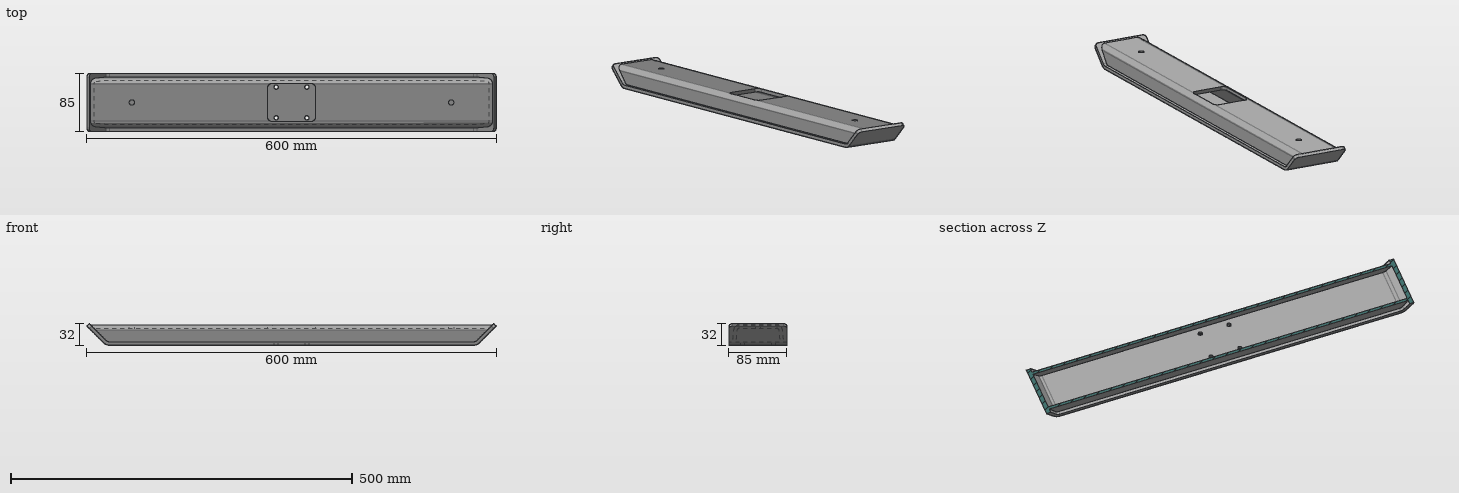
import cadquery as cq
import math

LENGTH = 600.0
WIDTH = 85.0
HEIGHT = 32.0

SHEET = 5.1
BEND_INNER_RADIUS = 7.0
BEND_ANGLE = math.radians(45)
END_CORNER_RADIUS = 5.5

COVER_TOP = 30.0
COVER_FOOT_WIDTH = 75.0
COVER_DRAFT = math.radians(6)
COVER_WALL = SHEET
COVER_RADIUS = 8.5

WINDOW_LENGTH = 71.0
WINDOW_WIDTH = 56.0
WINDOW_CORNER_RADIUS = 7.0
COVER_HOLE_DIAMETER = 8.0
COVER_HOLE_SPACING = 468.0

BASE_HOLE_DIAMETER = 6.0
BASE_HOLE_SPACING = 45.0

BEND_OUTER_RADIUS = BEND_INNER_RADIUS + SHEET
BEND_SIN = math.sin(BEND_ANGLE)
BEND_COS = math.cos(BEND_ANGLE)
OUTER_TIP_X = LENGTH / 2
OUTER_TIP_Z = HEIGHT - SHEET * BEND_COS
INNER_TIP_X = OUTER_TIP_X - SHEET * BEND_SIN
OUTER_BEND_END_Z = BEND_OUTER_RADIUS * (1 - BEND_COS)
OUTER_BEND_END_X = OUTER_TIP_X - (OUTER_TIP_Z - OUTER_BEND_END_Z) / math.tan(BEND_ANGLE)
BEND_CENTER_X = OUTER_BEND_END_X - BEND_OUTER_RADIUS * BEND_SIN


def bend_point(radius, angle):
    """Point on the right-hand bend, at an angle measured from straight down."""
    x = BEND_CENTER_X + radius * math.sin(angle)
    z = BEND_OUTER_RADIUS - radius * math.cos(angle)
    return x, z


def mirrored(point):
    """Matching point on the left-hand end."""
    return -point[0], point[1]


def tray_section(bottom_radius, tip):
    """Outline of the bent sheet surface, closed by a straight line between its two tips."""
    start = bend_point(bottom_radius, 0)
    middle = bend_point(bottom_radius, BEND_ANGLE / 2)
    end = bend_point(bottom_radius, BEND_ANGLE)
    return (
        cq.Workplane("XZ")
        .moveTo(*mirrored(start))
        .lineTo(*start)
        .threePointArc(middle, end)
        .lineTo(*tip)
        .lineTo(*mirrored(tip))
        .lineTo(*mirrored(end))
        .threePointArc(mirrored(middle), mirrored(start))
        .close()
    )


def tray_interior():
    """Space enclosed above the base and between the bent ends."""
    return tray_section(BEND_INNER_RADIUS, (INNER_TIP_X, HEIGHT)).extrude(WIDTH / 2, both=True)


def base_sheet():
    below_rim = tray_section(BEND_OUTER_RADIUS, (OUTER_TIP_X, OUTER_TIP_Z)).extrude(WIDTH / 2, both=True)
    rim = (
        cq.Workplane("XZ")
        .polyline([
            (OUTER_TIP_X, OUTER_TIP_Z),
            (INNER_TIP_X, HEIGHT),
            (-INNER_TIP_X, HEIGHT),
            (-OUTER_TIP_X, OUTER_TIP_Z),
        ])
        .close()
        .extrude(WIDTH / 2, both=True)
    )
    sheet = below_rim.union(rim).cut(tray_interior())
    tip_center_x = (OUTER_TIP_X + INNER_TIP_X) / 2
    tip_center_z = (OUTER_TIP_Z + HEIGHT) / 2
    for x_side in (-1, 1):
        for y_side in (-1, 1):
            corner = (x_side * tip_center_x, y_side * WIDTH / 2, tip_center_z)
            sheet = sheet.edges(cq.selectors.NearestToPointSelector(corner)).fillet(END_CORNER_RADIUS)
    return sheet


def drafted_channel(wall_offset):
    """Solid with sloping sides, shrunk inward from the cover's outer faces by wall_offset."""
    top = COVER_TOP - wall_offset
    foot_half = COVER_FOOT_WIDTH / 2 - wall_offset / math.cos(COVER_DRAFT)
    top_half = foot_half - (top - SHEET) * math.tan(COVER_DRAFT)
    return (
        cq.Workplane("YZ")
        .polyline([(-foot_half, SHEET), (foot_half, SHEET), (top_half, top), (-top_half, top)])
        .close()
        .extrude(LENGTH / 2, both=True)
        .edges("|X and >Z")
        .fillet(COVER_RADIUS - wall_offset)
    )


def cover():
    """Inverted channel, cut to fit against the bent ends."""
    return drafted_channel(0).cut(drafted_channel(COVER_WALL)).intersect(tray_interior())


def cover_openings():
    """Cutters for the central window and the two outlying holes."""
    cut_start = cq.Workplane("XY").workplane(offset=COVER_TOP - COVER_RADIUS)
    window = (
        cut_start.rect(WINDOW_LENGTH, WINDOW_WIDTH)
        .extrude(COVER_RADIUS)
        .edges("|Z")
        .fillet(WINDOW_CORNER_RADIUS)
    )
    holes = (
        cut_start.pushPoints([(-COVER_HOLE_SPACING / 2, 0), (COVER_HOLE_SPACING / 2, 0)])
        .circle(COVER_HOLE_DIAMETER / 2)
        .extrude(COVER_RADIUS)
    )
    return window.union(holes)


def base_holes():
    return (
        cq.Workplane("XY")
        .rarray(BASE_HOLE_SPACING, BASE_HOLE_SPACING, 2, 2)
        .circle(BASE_HOLE_DIAMETER / 2)
        .extrude(SHEET)
    )


result = base_sheet().union(cover()).cut(cover_openings()).cut(base_holes())